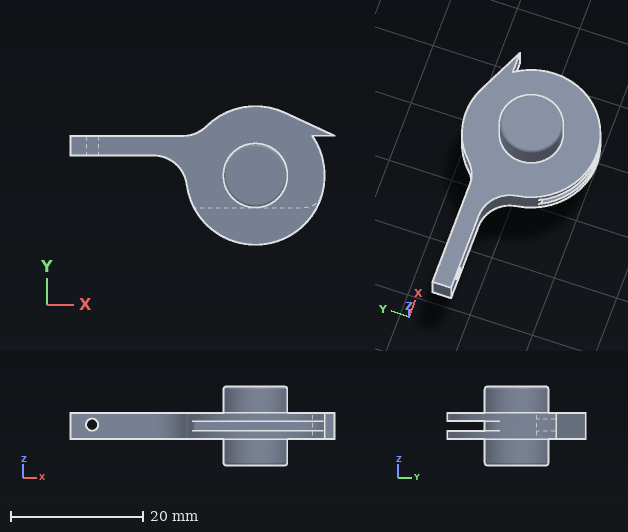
import cadquery as cq
import math

pin_diameter = 9.7
pin_length = 12.0
pin_edge_radius = 0.5

plate_thickness = 4.0
disc_radius = 10.5

arm_end_x = -28.0
arm_top_y = 6.0
arm_width = 3.0
arm_bottom_y = arm_top_y - arm_width
upper_blend_radius = 5.0
lower_blend_radius = 5.0

tip_x = 12.0
tip_y = arm_top_y

cross_hole_diameter = 1.8
cross_hole_x = -24.7
cross_hole_z = 0.2

slot_height = 1.5
slot_wall_y = -pin_diameter / 2
slot_left_radius = 0.5
slot_right_radius = 3.0


def on_circle(radius, angle):
    return radius * math.cos(angle), radius * math.sin(angle)


def arm_blend(edge_y, radius, side):
    """Arc joining an arm edge to the disc: points on the edge, at mid-arc and on the disc.

    side is +1 for the upper edge and -1 for the lower edge.
    """
    center_y = edge_y + side * radius
    center_x = -math.sqrt((disc_radius + radius) ** 2 - center_y**2)
    edge_angle = -side * math.pi / 2
    disc_angle = math.atan2(-center_y, -center_x)
    mid_x, mid_y = on_circle(radius, (edge_angle + disc_angle) / 2)
    on_edge = (center_x, edge_y)
    mid_arc = (center_x + mid_x, center_y + mid_y)
    on_disc = on_circle(disc_radius, math.atan2(center_y, center_x))
    return on_edge, mid_arc, on_disc


def make_plate():
    upper_edge, upper_mid, upper_disc = arm_blend(arm_top_y, upper_blend_radius, 1)
    lower_edge, lower_mid, lower_disc = arm_blend(arm_bottom_y, lower_blend_radius, -1)

    tip_distance = math.hypot(tip_x, tip_y)
    tangent_angle = math.atan2(tip_y, tip_x) + math.acos(disc_radius / tip_distance)
    tip_tangent = on_circle(disc_radius, tangent_angle)
    tip_root = (math.sqrt(disc_radius**2 - tip_y**2), tip_y)

    return (
        cq.Workplane("XY")
        .workplane(offset=-plate_thickness / 2)
        .moveTo(arm_end_x, arm_bottom_y)
        .lineTo(*lower_edge)
        .threePointArc(lower_mid, lower_disc)
        .threePointArc((0, -disc_radius), tip_root)
        .lineTo(tip_x, tip_y)
        .lineTo(*tip_tangent)
        .threePointArc((0, disc_radius), upper_disc)
        .threePointArc(upper_mid, upper_edge)
        .lineTo(arm_end_x, arm_top_y)
        .close()
        .extrude(plate_thickness)
    )


def make_pin():
    return (
        cq.Workplane("XY")
        .circle(pin_diameter / 2)
        .extrude(pin_length / 2, both=True)
        .faces("<Z or >Z")
        .edges()
        .fillet(pin_edge_radius)
    )


def wall_end(radius, side):
    """Rounded end of the slot wall: points on the wall, at mid-arc and on the disc rim.

    The arc is tangent to both the wall and the rim. side is +1 at +X and -1 at -X.
    """
    center_y = slot_wall_y + radius
    center_x = math.sqrt((disc_radius - radius) ** 2 - center_y**2)
    wall_angle = -math.pi / 2
    rim_angle = math.atan2(center_y, center_x)
    mid_x, mid_y = on_circle(radius, (wall_angle + rim_angle) / 2)
    rim_x, rim_y = on_circle(disc_radius, rim_angle)
    on_wall = (side * center_x, slot_wall_y)
    mid_arc = (side * (center_x + mid_x), center_y + mid_y)
    on_rim = (side * rim_x, rim_y)
    return on_wall, mid_arc, on_rim


def make_slot():
    left_wall, left_mid, left_rim = wall_end(slot_left_radius, -1)
    right_wall, right_mid, right_rim = wall_end(slot_right_radius, 1)
    return (
        cq.Workplane("XY")
        .workplane(offset=-slot_height / 2)
        .moveTo(*left_rim)
        .threePointArc(left_mid, left_wall)
        .lineTo(*right_wall)
        .threePointArc(right_mid, right_rim)
        .threePointArc((0, -disc_radius), left_rim)
        .close()
        .extrude(slot_height)
    )


def make_cross_hole():
    return (
        cq.Workplane("XZ", origin=(cross_hole_x, arm_top_y, cross_hole_z))
        .circle(cross_hole_diameter / 2)
        .extrude(arm_width)
    )


result = make_plate().cut(make_slot()).cut(make_cross_hole()).union(make_pin())